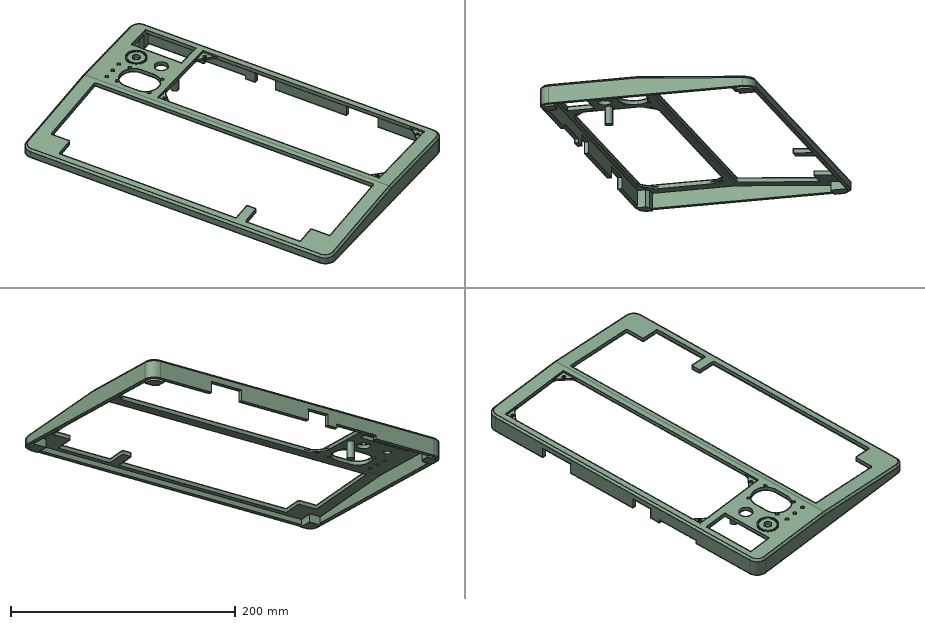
import cadquery as cq
import math


length = 320.0
depth = 200.0
body_height = 18.0
wall = 4.0
panel_thickness = 4.0
corner_radius = 10.0
top_chamfer = 2.0
crease_y = -92.0
slope = math.tan(math.radians(5))

side_margin = 15.5
foot_drop = 2.0
foot_inset = 3.0
foot_width = side_margin - foot_inset
front_foot_depth = 13.8
rear_foot_depth = 11.2
rear_foot_chamfer = 3.2
post_diameter = 7.0
post_x = 68.5

rear_margin = 7.7
small_window_length = 52.0
small_window_depth = 25.0
display_left = 75.0
display_front_y = -86.7
display_right = length - side_margin
corner_tab_leg = 12.5
corner_tab_flare = 6.5
corner_tab_thickness = 2.0
corner_tab_hole_diameter = 3.2
corner_tab_hole_inset = 4.5

lower_rear_y = -96.3
land_y = -173.0
lower_front_y = -192.0
land_length = 19.5
finger_left = 218.5
finger_width = 9.5
edge_fillet = 1.0

control_y = -46.0
knob_x = 28.5
knob_hole_diameter = 7.0
knob_ring_outer_diameter = 19.5
knob_ring_width = 1.3
knob_ring_depth = 1.0
socket_x = 54.5
socket_diameter = 12.5
speaker_center = (48.0, -73.3)
speaker_length = 39.0
speaker_depth = 27.2
speaker_radius = 13.0
speaker_screw_pitch_x = 33.5
speaker_screw_pitch_y = 22.5
speaker_screw_diameter = 3.0
lamp_x = 20.0
lamp_pitch = 10.5
lamp_diameter = 3.2

rear_ports = (
    (73.5, 43.0, 3.5),
    (126.7, 21.0, 10.5),
    (221.5, 32.5, 10.5),
)


def box(x_min, x_max, y_min, y_max, z_min, z_max):
    """Axis-aligned block between the given limits."""
    size = (x_max - x_min, y_max - y_min, z_max - z_min)
    return cq.Workplane("XY").box(*size, centered=False).translate((x_min, y_min, z_min))


def cylinder(x, y, diameter, z_min, z_max):
    """Vertical cylinder between two heights."""
    return cq.Workplane("XY", origin=(x, y, z_min)).circle(diameter / 2).extrude(z_max - z_min)


def drill(x, y, diameter):
    """Cutter for a round hole through the panel."""
    return cylinder(x, y, diameter, 0, body_height)


def wedge(inset, top_drop):
    """Solid below the two-plane top, shrunk by inset at the sides and lowered by top_drop."""
    rear_y = -inset
    front_y = inset - depth
    crease_z = body_height - top_drop
    front_z = crease_z - (crease_y - front_y) * slope
    return (
        cq.Workplane("YZ", origin=(inset, 0, 0))
        .polyline([(rear_y, 0), (rear_y, crease_z), (crease_y, crease_z), (front_y, front_z), (front_y, 0)])
        .close()
        .extrude(length - 2 * inset)
        .edges("|Z")
        .fillet(corner_radius - inset)
    )


def is_rim_edge(edge):
    """True for every edge except the crease where the two panels meet."""
    at_crease = abs(edge.Center().y - crease_y) < 0.03
    spans_length = edge.BoundingBox().xlen > length / 2
    return not (at_crease and spans_length)


def make_shell():
    """Hollow shell, open at the bottom, chamfered around its top rim."""
    outer = wedge(0, 0).edges("not(<Z or |Z)").filter(is_rim_edge).chamfer(top_chamfer)
    return outer.cut(wedge(wall, panel_thickness))


def foot(x_sign, y_sign, foot_depth):
    """Foot in one corner, rounded on the outside to run parallel to the shell corner."""
    x = length / 2 + x_sign * (length / 2 - foot_inset - foot_width / 2)
    y = -depth / 2 + y_sign * (depth / 2 - foot_inset - foot_depth / 2)
    block = (
        cq.Workplane("XY", origin=(x, y, -foot_drop))
        .rect(foot_width, foot_depth)
        .extrude(foot_drop + body_height)
    )
    outer_corner = cq.selectors.DirectionMinMaxSelector(cq.Vector(x_sign, y_sign, 0))
    block = block.edges("|Z").edges(outer_corner).fillet(corner_radius - foot_inset)
    if y_sign > 0:
        inner_corner = cq.selectors.DirectionMinMaxSelector(cq.Vector(-x_sign, -y_sign, 0))
        block = block.edges("|Z").edges(inner_corner).chamfer(rear_foot_chamfer)
    return block


def make_legs():
    """Four corner feet and one panel post, standing from the panel to below the rim."""
    legs = cylinder(post_x, control_y, post_diameter, -foot_drop, body_height)
    for x_sign in (-1, 1):
        legs = legs.union(foot(x_sign, -1, front_foot_depth))
        legs = legs.union(foot(x_sign, 1, rear_foot_depth))
    headroom = wedge(0, panel_thickness / 2).union(box(0, length, -depth, 0, -foot_drop, 0))
    return legs.intersect(headroom)


def lower_opening():
    """Cutter for the keyboard opening with its corner lands and finger."""
    main = box(side_margin, length - side_margin, land_y, lower_rear_y, 0, body_height)
    slot_left = side_margin + land_length
    slot = box(slot_left, length - slot_left, lower_front_y, land_y, 0, body_height)
    finger = box(finger_left, finger_left + finger_width, lower_front_y, land_y, 0, body_height)
    return main.union(slot).cut(finger).edges("|Z").fillet(edge_fillet)


def upper_windows():
    """Cutters for the small window and the display window."""
    small_right = side_margin + small_window_length
    small_front = -rear_margin - small_window_depth
    small = box(side_margin, small_right, small_front, -rear_margin, 0, body_height)
    display = box(display_left, display_right, display_front_y, -rear_margin, 0, body_height)
    return small.union(display)


def display_tabs():
    """Recessed screw tabs filling the corners of the display window outside a chamfered outline."""
    bottom = body_height - panel_thickness
    top = bottom + corner_tab_thickness
    window = box(display_left, display_right, display_front_y, -rear_margin, bottom, top)
    clear = window.edges("|Z").chamfer(corner_tab_leg).edges("|Z").fillet(corner_tab_flare)
    tabs = window.cut(clear)
    inset = corner_tab_hole_inset
    for x in (display_left + inset, display_right - inset):
        for y in (display_front_y + inset, -rear_margin - inset):
            tabs = tabs.cut(drill(x, y, corner_tab_hole_diameter))
    return tabs


def control_cuts():
    """Cutters for the knob, socket, speaker and lamps left of the display."""
    ring_floor = body_height - knob_ring_depth
    ring_inner_diameter = knob_ring_outer_diameter - 2 * knob_ring_width
    ring = cylinder(knob_x, control_y, knob_ring_outer_diameter, ring_floor, body_height)
    ring = ring.cut(cylinder(knob_x, control_y, ring_inner_diameter, ring_floor, body_height))
    cuts = ring.union(drill(knob_x, control_y, knob_hole_diameter))
    cuts = cuts.union(drill(socket_x, control_y, socket_diameter))

    speaker_x, speaker_y = speaker_center
    speaker = (
        cq.Workplane("XY", origin=(speaker_x, speaker_y, 0))
        .rect(speaker_length, speaker_depth)
        .extrude(body_height)
        .edges("|Z")
        .fillet(speaker_radius)
    )
    cuts = cuts.union(speaker)
    for x in (speaker_x - speaker_screw_pitch_x / 2, speaker_x + speaker_screw_pitch_x / 2):
        for y in (speaker_y - speaker_screw_pitch_y / 2, speaker_y + speaker_screw_pitch_y / 2):
            cuts = cuts.union(drill(x, y, speaker_screw_diameter))

    for step in (-1, 0, 1):
        cuts = cuts.union(drill(lamp_x, speaker_y + step * lamp_pitch, lamp_diameter))
    return cuts


def rear_cuts():
    """Cutters for the openings in the rear wall, all reaching down to the rim."""
    cuts = cq.Workplane("XY")
    for left, port_length, port_height in rear_ports:
        cuts = cuts.union(box(left, left + port_length, -wall, 0, 0, port_height))
    return cuts


result = (
    make_shell()
    .union(make_legs())
    .cut(lower_opening())
    .cut(upper_windows())
    .cut(control_cuts())
    .cut(rear_cuts())
    .union(display_tabs())
)